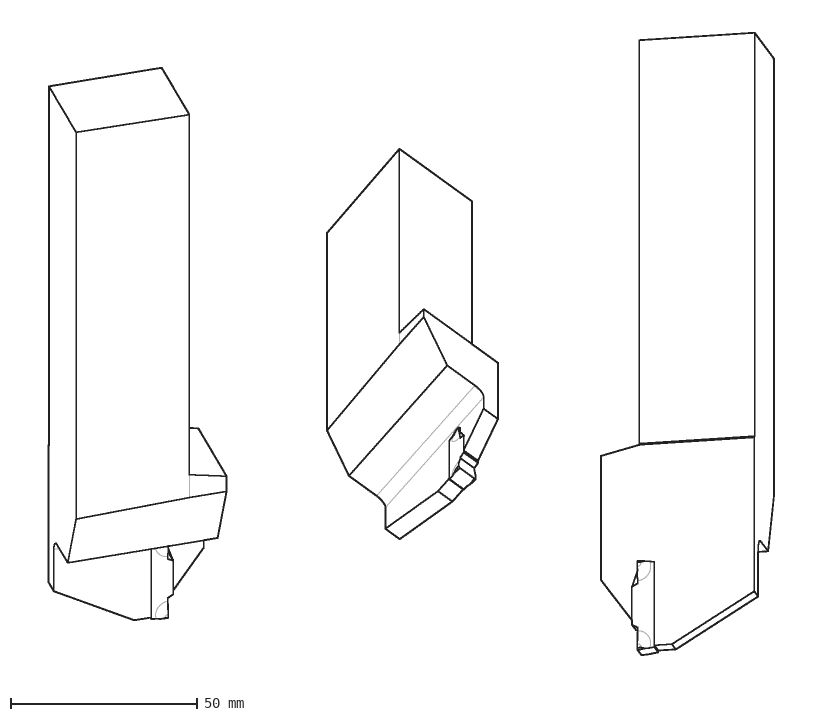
import cadquery as cq


total_height = 171.4
shank_width = 25.0
shank_depth = 31.7
holder_depth = 42.2
side_step = 0.5
side_draft = 0.5
shank_right = side_step + shank_width
shoulder_z = 57.5
shoulder_rise = 0.5
shoulder_outer_z = 55.2
blade_thickness = 5.0
web_bottom_z = 30.8
web_fillet = 3.0
web_corner_x = 17.5
web_slope_top_z = 50.4
blade_back_z = 14.4
blade_tip_y = 22.6
blade_tip_z = 1.0
jaw_corner_z = 20.4
jaw_end_y = 32.0
jaw_end_z = 6.3

insert_length = 25.0
insert_seat_y = 27.5
cutting_edge_y = 32.0
crown_y = 33.5
end_clearance = 0.5
land_length = 6.3
crown_start = 7.2
head_overhang = 0.5
head_depth = 3.3
head_length = 5.5
head_crest_scale = 0.3
tip_chamfer = 0.5
jaw_relief_start = 2.7

arc_fullness = 0.78


def extrude_side_outline(points, start_x, end_x):
    """Extrude a closed (Y, Z) outline along X."""
    return cq.Workplane("YZ", origin=(start_x, 0, 0)).polyline(points).close().extrude(end_x - start_x)


def front_body():
    """Shank, web and thin blade, extruded through the whole holder depth."""
    return (
        cq.Workplane("XZ")
        .moveTo(side_step, total_height)
        .lineTo(side_step, shoulder_z + shoulder_rise)
        .lineTo(0, shoulder_z)
        .lineTo(0, 0)
        .lineTo(blade_thickness, 0)
        .lineTo(blade_thickness, web_bottom_z - web_fillet)
        .radiusArc((blade_thickness + web_fillet, web_bottom_z), web_fillet)
        .lineTo(web_corner_x, web_bottom_z)
        .lineTo(shank_right, web_slope_top_z)
        .lineTo(shank_right, total_height)
        .close()
        .extrude(-holder_depth)
    )


def make_holder():
    side_outline = [
        (0, total_height),
        (0, blade_back_z),
        (blade_tip_y, blade_tip_z),
        (insert_seat_y, blade_tip_z),
        (jaw_end_y, jaw_end_z),
        (holder_depth, jaw_corner_z),
        (holder_depth, shoulder_outer_z),
        (shank_depth, shoulder_z),
        (shank_depth, total_height),
    ]
    drafted_section = (
        cq.Workplane("XY")
        .polyline([
            (0, 0),
            (shank_right - side_draft, 0),
            (shank_right, shank_depth),
            (shank_right, holder_depth),
            (0, holder_depth),
        ])
        .close()
        .extrude(total_height)
    )
    side_body = extrude_side_outline(side_outline, 0, shank_right)
    return front_body().intersect(side_body).intersect(drafted_section).cut(insert_pocket())


def insert_pocket():
    """Seat matching the insert, with a flared gap under the clamp jaw."""
    pocket_outline = [
        (insert_seat_y, 0),
        (insert_seat_y, insert_length - end_clearance),
        (cutting_edge_y, insert_length),
        (cutting_edge_y, insert_length - jaw_relief_start),
        (crown_y, insert_length - crown_start),
        (crown_y, 0),
    ]
    return extrude_side_outline(pocket_outline, 0, blade_thickness)


def head_outline(workplane, scale):
    """Quarter-round outline with its square corner at the lower cutting edge."""
    depth = head_depth * scale
    length = head_length * scale
    end_rise = end_clearance * depth / (cutting_edge_y - insert_seat_y)
    return (
        workplane
        .moveTo(cutting_edge_y, 0)
        .lineTo(cutting_edge_y - depth, end_rise)
        .threePointArc(
            (cutting_edge_y - depth * arc_fullness, length * arc_fullness),
            (cutting_edge_y, length),
        )
        .close()
    )


def make_head_side(face_x, outward):
    """Tapered swelling on one side of the lower insert end."""
    base = head_outline(cq.Workplane("YZ", origin=(face_x, 0, 0)), 1.0)
    crest_plane = base.workplane(offset=outward * head_overhang)
    return head_outline(crest_plane, head_crest_scale).loft(ruled=True, combine=True)


def chamfered_front():
    """Front envelope of the insert with bevelled corners."""
    insert_width = blade_thickness + 2 * head_overhang
    return (
        cq.Workplane("XY")
        .box(insert_width, holder_depth, insert_length)
        .edges("|Y")
        .chamfer(tip_chamfer)
        .translate((blade_thickness / 2, holder_depth / 2, insert_length / 2))
    )


def make_insert():
    core_outline = [
        (insert_seat_y, end_clearance),
        (cutting_edge_y, 0),
        (cutting_edge_y, land_length),
        (crown_y, crown_start),
        (crown_y, insert_length - crown_start),
        (cutting_edge_y, insert_length - land_length),
        (cutting_edge_y, insert_length),
        (insert_seat_y, insert_length - end_clearance),
    ]
    insert = extrude_side_outline(core_outline, 0, blade_thickness)
    for face_x, outward in ((0, -1), (blade_thickness, 1)):
        lower_head = make_head_side(face_x, outward)
        upper_head = lower_head.mirror("XY", (0, 0, insert_length / 2))
        insert = insert.union(lower_head).union(upper_head)
    return insert.intersect(chamfered_front())


holder = make_holder()
insert = make_insert()
result = cq.Compound.makeCompound([*holder.solids().vals(), *insert.solids().vals()])